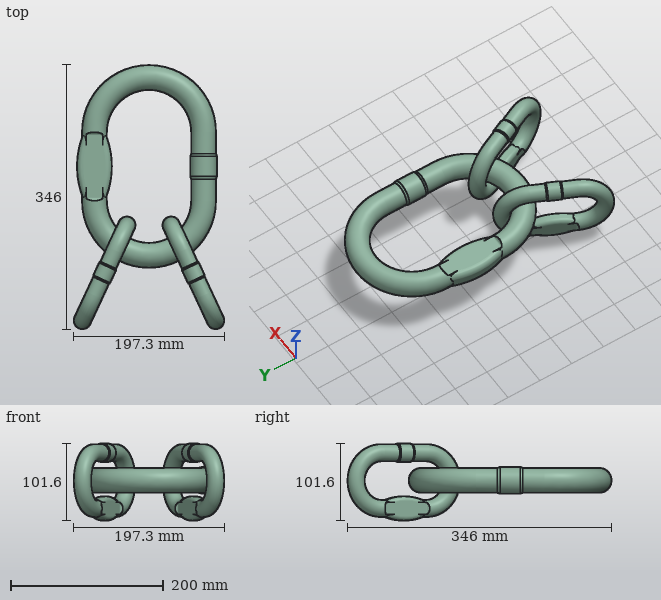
import cadquery as cq
import math

RING_INNER_WIDTH = 110.0
RING_INNER_LENGTH = 200.0
RING_WIRE_DIA = 33.0
RING_SLEEVE_DIA = 35.3
RING_SLEEVE_LENGTH = 33.2
RING_SLEEVE_TAPER = 3.5
RING_GRIP_WIDTH = 46.0
RING_GRIP_THICKNESS = 25.0
RING_GRIP_EDGE_RADIUS = 8.3
RING_GRIP_BULGE_LENGTH = 75.0

LINK_INNER_WIDTH = 50.2
LINK_INNER_LENGTH = 115.0
LINK_WIRE_DIA = 23.0
LINK_SLEEVE_DIA = 24.5
LINK_SLEEVE_LENGTH = 22.0
LINK_SLEEVE_TAPER = 2.0
LINK_GRIP_WIDTH = 32.2
LINK_GRIP_THICKNESS = 16.5
LINK_GRIP_EDGE_RADIUS = 6.0
LINK_GRIP_BULGE_LENGTH = 52.0

RAMP_RUN = 2.8
RAMP_FILLET = 2.8

LINK_TILT = 25.0
LINK_DROP = 0.5
OVERALL_WIDTH = 197.3
OVERALL_LENGTH = 346.0


def wire_loop(leg_offset, leg_length, wire_dia):
    """Round wire bent to two straight legs along Y and two half-circle ends."""
    half_leg = leg_length / 2
    end_y = half_leg + leg_offset
    path = (
        cq.Workplane("XY")
        .moveTo(leg_offset, -half_leg)
        .lineTo(leg_offset, half_leg)
        .threePointArc((0, end_y), (-leg_offset, half_leg))
        .lineTo(-leg_offset, -half_leg)
        .threePointArc((0, -end_y), (leg_offset, -half_leg))
        .close()
    )
    section = cq.Workplane("XZ", origin=(leg_offset, -half_leg, 0)).circle(wire_dia / 2)
    return section.sweep(path)


def weld_sleeve(leg_offset, wire_dia, dia, length, taper):
    """Thickened sleeve on the +X leg, tapering to the wire at both ends."""
    half_length = length / 2
    profile = (
        cq.Workplane("XY")
        .polyline([
            (0, -half_length),
            (wire_dia / 2, -half_length),
            (dia / 2, -half_length + taper),
            (dia / 2, half_length - taper),
            (wire_dia / 2, half_length),
            (0, half_length),
        ])
        .close()
    )
    return profile.revolve(360, (0, 0, 0), (0, 1, 0)).translate((leg_offset, 0, 0))


def grip_pocket(leg_offset, leg_length, wire_dia, thickness):
    """Ramped cut that flattens the upper side of the -X leg."""
    floor = thickness / 2
    rise = wire_dia / 2 - floor
    half_leg = leg_length / 2
    profile = [
        (-half_leg + RAMP_RUN, floor),
        (half_leg - RAMP_RUN, floor),
        (half_leg + RAMP_RUN, floor + 2 * rise),
        (-half_leg - RAMP_RUN, floor + 2 * rise),
    ]
    return (
        cq.Workplane("YZ", origin=(-leg_offset, 0, 0))
        .polyline(profile)
        .close()
        .extrude(wire_dia / 2, both=True)
        .edges("<Z and |X")
        .fillet(RAMP_FILLET)
    )


def grip_plate(leg_offset, leg_length, wire_dia, width, thickness, edge_radius, bulge_length):
    """Flat plate on the -X leg with bowed, rounded sides that stand out over bulge_length."""
    half_leg = leg_length / 2
    half_width = width / 2
    bow = half_width - wire_dia / 2
    bow_radius = ((bulge_length / 2) ** 2 + bow**2) / (2 * bow)
    end_half_width = half_width - bow_radius + math.sqrt(bow_radius**2 - half_leg**2)
    return (
        cq.Workplane("XY", origin=(-leg_offset, 0, -thickness / 2))
        .moveTo(end_half_width, -half_leg)
        .threePointArc((half_width, 0), (end_half_width, half_leg))
        .lineTo(-end_half_width, half_leg)
        .threePointArc((-half_width, 0), (-end_half_width, -half_leg))
        .close()
        .extrude(thickness)
        .edges("%CIRCLE")
        .fillet(edge_radius)
    )


def chain_link(
    inner_width,
    inner_length,
    wire_dia,
    sleeve_dia,
    sleeve_length,
    sleeve_taper,
    grip_width,
    grip_thickness,
    grip_edge_radius,
    grip_bulge_length,
):
    """Oval link lying in the XY plane, with its grip on the -X leg and its sleeve on the +X leg."""
    leg_offset = (inner_width + wire_dia) / 2
    leg_length = inner_length - inner_width
    pocket = grip_pocket(leg_offset, leg_length, wire_dia, grip_thickness)
    plate = grip_plate(
        leg_offset, leg_length, wire_dia, grip_width, grip_thickness, grip_edge_radius, grip_bulge_length
    )
    sleeve = weld_sleeve(leg_offset, wire_dia, sleeve_dia, sleeve_length, sleeve_taper)
    loop = wire_loop(leg_offset, leg_length, wire_dia)
    return loop.cut(pocket).cut(pocket.mirror("XY")).union(plate).union(sleeve).clean()


def master_ring():
    return chain_link(
        RING_INNER_WIDTH,
        RING_INNER_LENGTH,
        RING_WIRE_DIA,
        RING_SLEEVE_DIA,
        RING_SLEEVE_LENGTH,
        RING_SLEEVE_TAPER,
        RING_GRIP_WIDTH,
        RING_GRIP_THICKNESS,
        RING_GRIP_EDGE_RADIUS,
        RING_GRIP_BULGE_LENGTH,
    )


def coupling_link(side):
    """Upright link hung through the ring, its grip down; side is -1 for left and +1 for right."""
    tilt = math.radians(LINK_TILT)
    half_centreline = (LINK_INNER_LENGTH + LINK_WIRE_DIA) / 2
    ring_end = RING_INNER_LENGTH / 2 + RING_WIRE_DIA
    wire_radius = LINK_WIRE_DIA / 2
    center_x = OVERALL_WIDTH / 2 - wire_radius - half_centreline * math.sin(tilt)
    center_y = ring_end - OVERALL_LENGTH + wire_radius + half_centreline * math.cos(tilt)
    link = chain_link(
        LINK_INNER_WIDTH,
        LINK_INNER_LENGTH,
        LINK_WIRE_DIA,
        LINK_SLEEVE_DIA,
        LINK_SLEEVE_LENGTH,
        LINK_SLEEVE_TAPER,
        LINK_GRIP_WIDTH,
        LINK_GRIP_THICKNESS,
        LINK_GRIP_EDGE_RADIUS,
        LINK_GRIP_BULGE_LENGTH,
    )
    placement = cq.Plane(
        origin=(side * center_x, center_y, -LINK_DROP),
        xDir=(0, 0, 1),
        normal=(-math.cos(tilt), -side * math.sin(tilt), 0),
    )
    return cq.Workplane(link.val().located(placement.location))


ring = master_ring()
coupling_links = [coupling_link(side) for side in (-1, 1)]

result = cq.Compound.makeCompound([ring.val(), *[link.val() for link in coupling_links]])